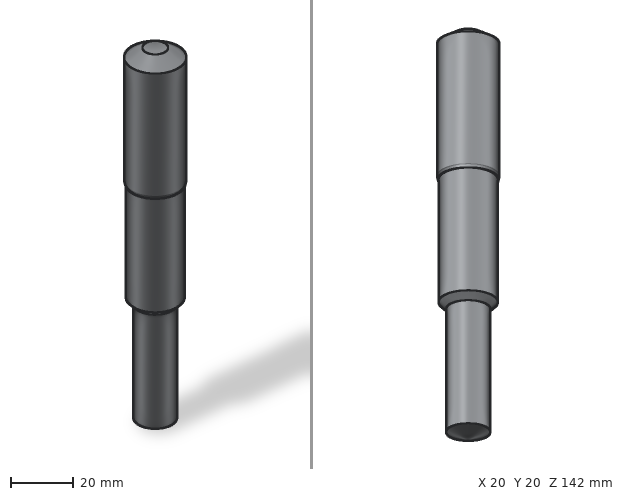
import cadquery as cq

total_length = 142.0

head_diameter = 20.0
head_top_diameter = 8.2
head_top_taper_height = 3.5
head_bottom_z = 91.0
head_bottom_diameter = 19.5
head_bottom_taper_height = 1.1

shank_diameter = 19.0
pin_diameter = 14.2
shank_bottom_z = 48.1
tip_height = 2.7

head_radius = head_diameter / 2
head_top_radius = head_top_diameter / 2
head_bottom_radius = head_bottom_diameter / 2
shank_radius = shank_diameter / 2
pin_radius = pin_diameter / 2

shoulder_height = shank_radius - pin_radius


def revolve_profile(points):
    """Revolve a closed (radius, z) outline a full turn about the Z axis."""
    return cq.Workplane("XZ").polyline(points).close().revolve(360, (0, 0), (0, 1))


def make_head():
    """Cylinder with a broad conical top and a narrow taper at its bottom edge."""
    return revolve_profile([
        (0, head_bottom_z),
        (head_bottom_radius, head_bottom_z),
        (head_radius, head_bottom_z + head_bottom_taper_height),
        (head_radius, total_length - head_top_taper_height),
        (head_top_radius, total_length),
        (0, total_length),
    ])


def make_shank():
    """Cylinder that narrows through a cone to a pin with a pointed tip."""
    return revolve_profile([
        (0, 0),
        (pin_radius, tip_height),
        (pin_radius, shank_bottom_z - shoulder_height),
        (shank_radius, shank_bottom_z),
        (shank_radius, head_bottom_z),
        (0, head_bottom_z),
    ])


head = make_head()
shank = make_shank()
result = cq.Compound.makeCompound([head.val(), shank.val()])